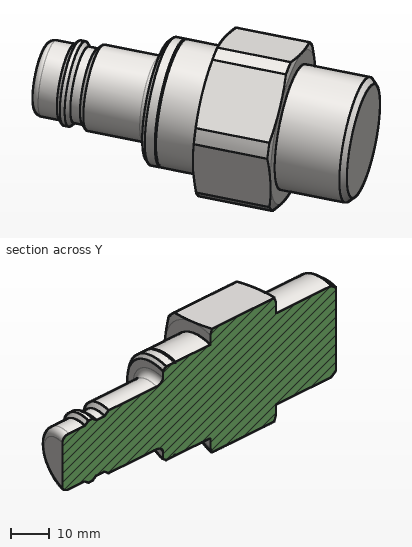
import cadquery as cq
import math

ring_start = 7.1
shoulder_start = 13.4
flange_start = 31.9
groove_start = 35.7
hex_start = 47.0
hex_end = 67.95
total_length = 87.0

tip_diameter = 20.3
plug_diameter = 22.9
ring_diameter = 22.6
flange_diameter = 34.0
groove_diameter = 33.2
end_diameter = 33.2

tip_fillet = 2.1
ring_crest_width = 1.3
ring_step = (ring_diameter - tip_diameter) / 2
shoulder_step = (plug_diameter - tip_diameter) / 2
flange_fillet = 2.0
flange_chamfer = 1.05
groove_width = 0.3
end_chamfer = 1.6

hex_across_flats = 41.0
hex_corner_diameter = 45.0
hex_face_diameter = 40.9
hex_chamfer_angle = 15.0
hex_rotation = 6.0


def turned_body():
    """Solid body of revolution: plug, flange and rear cylinder."""
    tip_r = tip_diameter / 2
    plug_r = plug_diameter / 2
    ring_r = ring_diameter / 2
    flange_r = flange_diameter / 2
    groove_r = groove_diameter / 2
    end_r = end_diameter / 2
    arc_factor = 1 - math.sqrt(0.5)
    crest_start = ring_start + ring_step
    crest_end = crest_start + ring_crest_width
    profile = (
        cq.Workplane("XY")
        .lineTo(0, tip_r - tip_fillet)
        .threePointArc(
            (tip_fillet * arc_factor, tip_r - tip_fillet * arc_factor),
            (tip_fillet, tip_r),
        )
        .lineTo(ring_start, tip_r)
        .lineTo(crest_start, ring_r)
        .lineTo(crest_end, ring_r)
        .lineTo(crest_end + ring_step, tip_r)
        .lineTo(shoulder_start, tip_r)
        .lineTo(shoulder_start + shoulder_step, plug_r)
        .lineTo(flange_start - flange_fillet, plug_r)
        .threePointArc(
            (flange_start - flange_fillet * arc_factor, plug_r + flange_fillet * arc_factor),
            (flange_start, plug_r + flange_fillet),
        )
        .lineTo(flange_start, flange_r - flange_chamfer)
        .lineTo(flange_start + flange_chamfer, flange_r)
        .lineTo(groove_start, flange_r)
        .lineTo(groove_start, groove_r)
        .lineTo(groove_start + groove_width, groove_r)
        .lineTo(groove_start + groove_width, flange_r)
        .lineTo(hex_start, flange_r)
        .lineTo(hex_start, end_r)
        .lineTo(total_length - end_chamfer, end_r)
        .lineTo(total_length, end_r - end_chamfer)
        .lineTo(total_length, 0)
        .close()
    )
    return profile.revolve(360, (0, 0, 0), (1, 0, 0))


def hexagon():
    """Hexagon whose corners are turned round and beveled at both ends."""
    across_corners = hex_across_flats / math.cos(math.radians(30))
    prism = (
        cq.Workplane("YZ", origin=(hex_start, 0, 0))
        .polygon(6, across_corners)
        .extrude(hex_end - hex_start)
        .rotate((0, 0, 0), (1, 0, 0), hex_rotation + 30)
    )
    face_r = hex_face_diameter / 2
    corner_r = hex_corner_diameter / 2
    bevel_length = (corner_r - face_r) * math.tan(math.radians(hex_chamfer_angle))
    envelope = (
        cq.Workplane("XY")
        .moveTo(hex_start, 0)
        .lineTo(hex_start, face_r)
        .lineTo(hex_start + bevel_length, corner_r)
        .lineTo(hex_end - bevel_length, corner_r)
        .lineTo(hex_end, face_r)
        .lineTo(hex_end, 0)
        .close()
        .revolve(360, (0, 0, 0), (1, 0, 0))
    )
    return prism.intersect(envelope)


result = turned_body().union(hexagon())